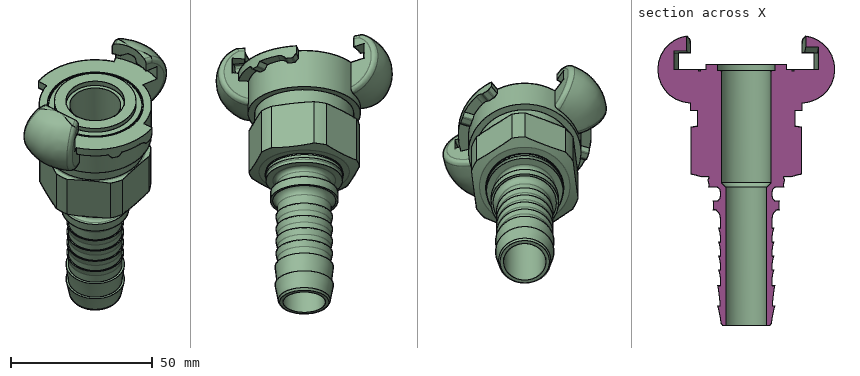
import cadquery as cq
import math

total_height = 102.4
nut_bottom = 52.5
nut_top = 70.5
body_bottom = 76.0
face_height = 90.5
seal_height = 92.3

shank_radius = 9.5
tail_tip_radius = 9.2
tail_tip_chamfer_width = 0.5
tail_tip_chamfer_height = 0.8
large_barb_radius = 10.3
large_barb_tops = [7.0, 14.1]
ridge_radius = 10.0
ridge_start = 17.2
ridge_pitch = 4.9
ridge_length = 2.5
ridge_count = 4

stop_radius = 11.93
stop_bottom = 40.9
stop_top = 44.0
stop_flare_height = 2.8
stop_flare_radius = 11.2
stop_flare_arc = 3.1
neck_fillet = 1.5
collar_radius = 13.5
collar_bottom = 49.0
snap_ring_radius = 13.8
snap_ring_foot_radius = 13.6
snap_ring_shoulder = 50.2
snap_ring_bottom = 50.8
snap_ring_top = 52.0

nut_across_flats = 36.2
nut_turned_radius = 19.7
nut_bottom_face_radius = 16.0
nut_bottom_chamfer_angle = 15.0
nut_top_face_radius = 18.0
nut_top_chamfer_angle = 10.0

body_neck_radius = 17.5
body_radius = 19.9
face_groove_inner = 16.5
face_groove_outer = 17.0
face_groove_depth = 0.5
seal_radius = 14.4

tail_bore_radius = 7.5
body_bore_radius = 9.0
bore_cone_bottom = 49.0
bore_cone_top = bore_cone_bottom + body_bore_radius - tail_bore_radius
seal_recess_radius = 10.3
seal_recess_depth = 2.0

flange_radius = 23.5
flange_thickness = 3.1
flange_overrun = 2.6
tooth_depth = 1.6
tooth_root_width = 2 * flange_overrun
tooth_tip_width = 2.5
tooth_corner_radius = 0.5
flange_end_radius = 3.3
tooth_angles = [0.0, 35.0]

claw_reach = 31.49
claw_section_radius = 12.0
claw_ridge_y = claw_reach - claw_section_radius
claw_crown_radius = 18.7
claw_axis_y = claw_reach - claw_crown_radius
claw_center_height = face_height
claw_back_radius = 20.5
claw_half_angle = 21.0
claw_side_fillet = 1.8
claw_root_radius = 18.4
claw_tip_radius = 21.1
hook_wall_radius = 25.6
hook_ceiling = 96.4
notch_height = 2.5
notch_left = -4.6
notch_right = 2.4
notch_roof_left = -1.5
notch_roof_right = 1.6
notch_corner_radius = 1.0


def disc(radius, bottom, top):
    """Cylinder on the main axis between two heights."""
    return cq.Workplane("XY").workplane(offset=bottom).circle(radius).extrude(top - bottom)


def both_sides(feature):
    """The feature together with its copy half a turn around the axis."""
    return feature.union(feature.rotate((0, 0, 0), (0, 0, 1), 180))


def turned_body():
    """Hose tail, stop flange, collar with snap ring, and coupling body as one solid of revolution."""
    outline = (
        cq.Workplane("XZ")
        .lineTo(tail_tip_radius - tail_tip_chamfer_width, 0)
        .lineTo(tail_tip_radius, tail_tip_chamfer_height)
        .lineTo(large_barb_radius, large_barb_tops[0])
        .lineTo(shank_radius, large_barb_tops[0])
        .lineTo(large_barb_radius, large_barb_tops[1])
        .lineTo(shank_radius, large_barb_tops[1])
    )
    for i in range(ridge_count):
        start = ridge_start + i * ridge_pitch
        outline = (
            outline.lineTo(shank_radius, start)
            .lineTo(ridge_radius, start + ridge_length)
            .lineTo(shank_radius, start + ridge_length)
        )
    snap_ring_middle = (snap_ring_bottom + snap_ring_top) / 2
    outline = (
        outline.lineTo(shank_radius, stop_bottom - stop_flare_height)
        .radiusArc((stop_flare_radius, stop_bottom), stop_flare_arc)
        .lineTo(stop_radius, stop_bottom)
        .lineTo(stop_radius, stop_top)
        .lineTo(shank_radius + neck_fillet, stop_top)
        .radiusArc((shank_radius, stop_top + neck_fillet), neck_fillet)
        .lineTo(shank_radius, collar_bottom - neck_fillet)
        .radiusArc((shank_radius + neck_fillet, collar_bottom), neck_fillet)
        .lineTo(collar_radius, collar_bottom)
        .lineTo(collar_radius, snap_ring_shoulder)
        .lineTo(snap_ring_foot_radius, snap_ring_bottom)
        .threePointArc((snap_ring_radius, snap_ring_middle), (collar_radius, snap_ring_top))
        .lineTo(collar_radius, nut_top)
        .lineTo(body_neck_radius, nut_top)
        .lineTo(body_neck_radius, body_bottom)
        .lineTo(body_radius, body_bottom)
        .lineTo(body_radius, face_height)
        .lineTo(seal_radius, face_height)
        .lineTo(seal_radius, seal_height)
        .lineTo(0, seal_height)
        .close()
    )
    return outline.revolve(360, (0, 0, 0), (0, 1, 0))


def hex_nut():
    """Hexagon with flats facing +X and -X, corners turned round and both ends chamfered."""
    across_corners = nut_across_flats / math.cos(math.radians(30))
    hexagon = (
        cq.Workplane("XY")
        .workplane(offset=nut_bottom)
        .polygon(6, across_corners)
        .extrude(nut_top - nut_bottom)
        .rotate((0, 0, 0), (0, 0, 1), 30)
    )
    bottom_width = nut_turned_radius - nut_bottom_face_radius
    bottom_chamfer = bottom_width * math.tan(math.radians(nut_bottom_chamfer_angle))
    top_width = nut_turned_radius - nut_top_face_radius
    top_chamfer = top_width * math.tan(math.radians(nut_top_chamfer_angle))
    blank = (
        cq.Workplane("XZ")
        .moveTo(0, nut_bottom)
        .lineTo(nut_bottom_face_radius, nut_bottom)
        .lineTo(nut_turned_radius, nut_bottom + bottom_chamfer)
        .lineTo(nut_turned_radius, nut_top - top_chamfer)
        .lineTo(nut_top_face_radius, nut_top)
        .lineTo(0, nut_top)
        .close()
        .revolve(360, (0, 0, 0), (0, 1, 0))
    )
    return hexagon.intersect(blank)


def locking_flange():
    """Quarter flange on the -X, +Y side with teeth below it."""
    bottom = face_height - flange_thickness
    plate = disc(flange_radius, bottom, face_height).intersect(
        cq.Workplane("XY")
        .workplane(offset=bottom)
        .moveTo(-flange_radius, -flange_overrun)
        .lineTo(0, -flange_overrun)
        .lineTo(0, flange_radius)
        .lineTo(-flange_radius, flange_radius)
        .close()
        .extrude(flange_thickness)
    )
    half_root = tooth_root_width / 2
    half_tip = tooth_tip_width / 2
    tooth = (
        cq.Workplane("YZ")
        .moveTo(-half_root, bottom)
        .lineTo(-half_tip, bottom - tooth_depth)
        .lineTo(half_tip, bottom - tooth_depth)
        .lineTo(half_root, bottom)
        .close()
        .extrude(-flange_radius)
        .edges("|X and <Z")
        .fillet(tooth_corner_radius)
        .intersect(disc(flange_radius, bottom - tooth_depth, bottom))
    )
    for angle in tooth_angles:
        plate = plate.union(tooth.rotate((0, 0, 0), (0, 0, 1), -angle))
    end_corner = cq.selectors.NearestToPointSelector((-flange_radius, -flange_overrun, bottom))
    return plate.edges("|X").edges(end_corner).fillet(flange_end_radius)


def claw():
    """Hooked claw on the +Y side: a crowned wedge with rounded flanks and an undercut."""
    bottom = claw_center_height - claw_section_radius
    peak = claw_center_height + claw_section_radius
    rim_start = claw_ridge_y - claw_axis_y
    crown = (
        cq.Workplane("XZ")
        .moveTo(0, bottom)
        .lineTo(rim_start, bottom)
        .threePointArc((claw_crown_radius, claw_center_height), (rim_start, peak))
        .lineTo(0, peak)
        .close()
        .revolve(360, (0, 0, 0), (0, 1, 0))
        .translate((0, claw_axis_y, 0))
    )
    half_width = claw_reach * math.tan(math.radians(claw_half_angle))
    wedge = (
        cq.Workplane("XY")
        .workplane(offset=bottom)
        .lineTo(half_width, claw_reach)
        .lineTo(-half_width, claw_reach)
        .close()
        .extrude(peak - bottom)
        .cut(disc(claw_root_radius, bottom, peak))
    )
    back = (
        cq.Workplane("XZ")
        .center(0, total_height - claw_back_radius)
        .circle(claw_back_radius)
        .extrude(-claw_reach)
    )
    hook = crown.intersect(wedge).intersect(back)
    hook = hook.faces("%PLANE and #Z").edges("not |Z").fillet(claw_side_fillet)
    mouth = disc(claw_tip_radius, face_height, total_height)
    undercut = disc(hook_wall_radius, face_height, hook_ceiling)
    notch = (
        cq.Workplane("XZ")
        .moveTo(notch_left, hook_ceiling)
        .lineTo(notch_roof_left, hook_ceiling + notch_height)
        .lineTo(notch_roof_right, hook_ceiling + notch_height)
        .lineTo(notch_right, hook_ceiling)
        .close()
        .extrude(-hook_wall_radius)
        .edges("|Y and >Z")
        .fillet(notch_corner_radius)
        .intersect(disc(hook_wall_radius, face_height, total_height))
    )
    return hook.cut(mouth).cut(undercut).cut(notch)


def face_groove():
    """Shallow ring groove around the seal on the coupling face."""
    floor = face_height - face_groove_depth
    ring = disc(face_groove_outer, floor, face_height)
    return ring.cut(disc(face_groove_inner, floor, face_height))


def bore():
    """Through passage: narrow in the tail, coned out to the body, recessed inside the seal."""
    recess_floor = seal_height - seal_recess_depth
    return (
        cq.Workplane("XZ")
        .lineTo(tail_bore_radius, 0)
        .lineTo(tail_bore_radius, bore_cone_bottom)
        .lineTo(body_bore_radius, bore_cone_top)
        .lineTo(body_bore_radius, recess_floor)
        .lineTo(seal_recess_radius, recess_floor)
        .lineTo(seal_recess_radius, seal_height)
        .lineTo(0, seal_height)
        .close()
        .revolve(360, (0, 0, 0), (0, 1, 0))
    )


solid_fitting = (
    turned_body()
    .union(hex_nut())
    .union(both_sides(locking_flange()))
    .union(both_sides(claw()))
)
result = solid_fitting.cut(face_groove()).cut(bore())